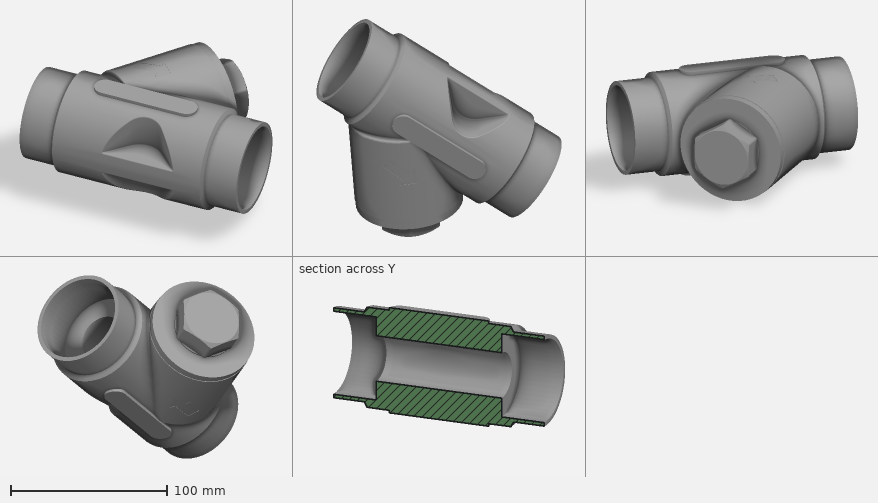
import cadquery as cq
import math

length = 150.0
pipe_diameter = 60.3
pipe_bore = 55.0
body_diameter = 67.0
body_length = 106.2
shoulder_length = 2.1
seat_bore = 30.0
bore_depth = 30.5

branch_angle = 50.0
branch_diameter = 69.8
branch_start_radius = 1.0
joint_radius = 0.8
branch_axis_x = -30.3
branch_start = 14.0
branch_end = 74.5
cap_diameter = 69.0
cap_end = 80.1

washer_diameter = 39.6
washer_height = 0.9
hex_across_flats = 37.2
hex_end = 96.2
hex_edge_radius = 1.8
hex_chamfer = 0.9
hex_chamfer_angle = 30.0

plate_length = 70.6
plate_width = 14.2
plate_height = 70.4

pocket_x = 7.6
pocket_tip_radius = 15.0
pocket_tip_y = -14.0
pocket_half_angle = 45.0
pocket_edge_radius = 0.8
web_thickness = 15.6

arrow_tail_x = -19.5
arrow_tip_x = 5.0
arrow_head_x = -3.3
arrow_y = 30.0
arrow_shaft_width = 7.8
arrow_head_width = 15.9
arrow_depth = 0.22


def tube():
    half_length = length / 2
    half_body = body_length / 2
    pipe_radius = pipe_diameter / 2
    body_radius = body_diameter / 2
    profile = [
        (-half_length, 0),
        (-half_length, pipe_radius),
        (-half_body, pipe_radius),
        (-half_body + shoulder_length, body_radius),
        (half_body - shoulder_length, body_radius),
        (half_body, pipe_radius),
        (half_length, pipe_radius),
        (half_length, 0),
    ]
    return cq.Workplane("XY").polyline(profile).close().revolve(360, (0, 0, 0), (1, 0, 0))


def on_branch(distance):
    """Workplane square to the branch axis; its local X is parallel to Z."""
    angle = math.radians(branch_angle)
    direction = cq.Vector(math.cos(angle), math.sin(angle), 0)
    origin = cq.Vector(branch_axis_x, 0, 0) + direction * distance
    return cq.Workplane(cq.Plane(origin, xDir=(0, 0, 1), normal=direction))


def disc(start, end, diameter):
    return on_branch(start).circle(diameter / 2).extrude(end - start)


def hex_plug():
    start = cap_end + washer_height
    height = hex_end - start
    across_corners = hex_across_flats / math.cos(math.pi / 6)
    plug = on_branch(start).polygon(6, across_corners).extrude(height)
    plug = plug.edges(cq.selectors.ParallelDirSelector(on_branch(0).plane.zDir)).fillet(hex_edge_radius)
    top_radius = hex_across_flats / 2 - hex_chamfer / 2
    spread = height / math.tan(math.radians(hex_chamfer_angle))
    cone = on_branch(hex_end).circle(top_radius).workplane(offset=-height).circle(top_radius + spread).loft()
    return plug.intersect(cone)


def plates():
    return cq.Workplane("XY").slot2D(plate_length, plate_width).extrude(plate_height / 2, both=True)


def pockets():
    half_angle = math.radians(pocket_half_angle)
    centre_y = pocket_tip_y - pocket_tip_radius
    tangent_x = pocket_tip_radius * math.cos(half_angle)
    tangent_y = centre_y + pocket_tip_radius * math.sin(half_angle)
    open_y = -body_diameter
    open_x = tangent_x + (tangent_y - open_y) * math.tan(half_angle)
    triangle = (
        cq.Workplane("XY", origin=(pocket_x, 0, 0))
        .moveTo(-open_x, open_y)
        .lineTo(-tangent_x, tangent_y)
        .threePointArc((0, pocket_tip_y), (tangent_x, tangent_y))
        .lineTo(open_x, open_y)
        .close()
        .extrude(body_diameter)
    )
    upper = triangle.translate((0, 0, web_thickness / 2)).faces("<Z").edges().fillet(pocket_edge_radius)
    return upper.union(upper.mirror("XY"))


def bores():
    seat = cq.Workplane("YZ").circle(seat_bore / 2).extrude(length, both=True)
    left = cq.Workplane("YZ", origin=(-length / 2, 0, 0)).circle(pipe_bore / 2).extrude(bore_depth)
    return seat.union(left).union(left.mirror("YZ"))


def tube_face(body):
    """The large cylindrical face of the tube body."""
    return max(body.faces("%CYLINDER").vals(), key=lambda face: face.Area())


def pocketed_tube():
    body = tube().cut(pockets())
    rims = [edge for wire in tube_face(body).innerWires() for edge in wire.Edges()]
    return body.newObject(rims).fillet(pocket_edge_radius)


def rounded_branch():
    lower_face = cq.selectors.DirectionMinMaxSelector(on_branch(0).plane.zDir, False)
    return disc(branch_start, branch_end, branch_diameter).faces(lower_face).edges().fillet(branch_start_radius)


def joined_body():
    """Tube and branch, with the corner where they meet rounded."""
    body = pocketed_tube().union(rounded_branch())
    border = tube_face(body).outerWire().Edges()
    joint = [edge for edge in border if edge.geomType() not in ("LINE", "CIRCLE")]
    return body.newObject(joint).fillet(joint_radius)


def arrows():
    """Arrow-shaped grooves of even depth in the +Z and -Z sides of the branch."""
    half_shaft = arrow_shaft_width / 2
    half_head = arrow_head_width / 2
    outline = [
        (arrow_tail_x, -half_shaft),
        (arrow_head_x, -half_shaft),
        (arrow_head_x, -half_head),
        (arrow_tip_x, 0),
        (arrow_head_x, half_head),
        (arrow_head_x, half_shaft),
        (arrow_tail_x, half_shaft),
    ]
    prism = (
        cq.Workplane("XY", origin=(0, arrow_y, 0))
        .polyline(outline)
        .close()
        .extrude(branch_diameter, both=True)
    )
    core = disc(0, cap_end, branch_diameter - 2 * arrow_depth)
    return prism.cut(core)


cap = disc(branch_end, cap_end, cap_diameter)
washer = disc(cap_end, cap_end + washer_height, washer_diameter)

result = joined_body().cut(arrows())
for part in (cap, washer, hex_plug(), plates()):
    result = result.union(part)
result = result.cut(bores())